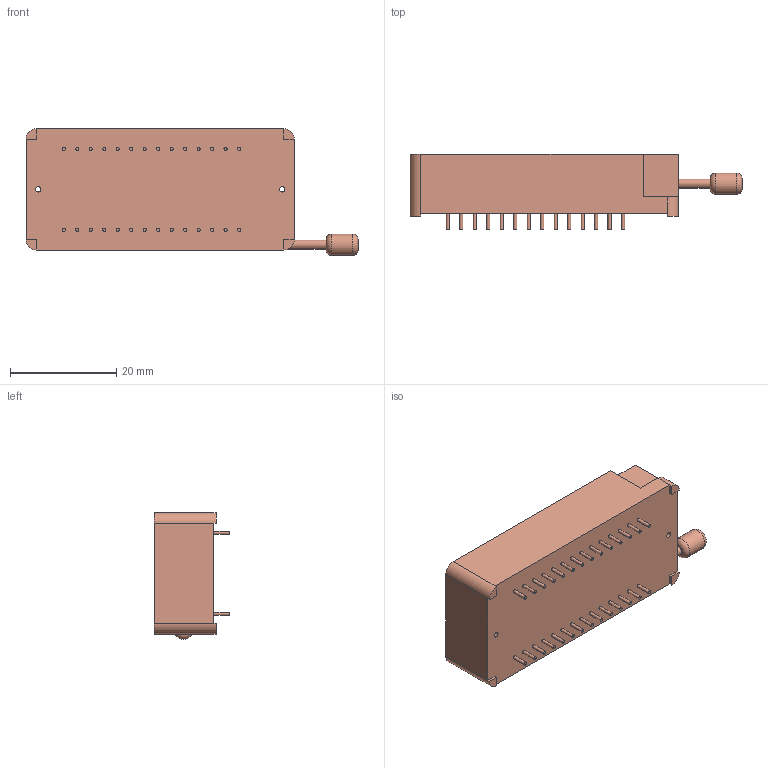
import cadquery as cq

body_length = 50.55
body_depth = 11.17
body_height = 22.86
corner_radius = 2.0

foot_height = 0.5
foot_size = corner_radius

pins_per_row = 14
pin_pitch = 2.54
row_spacing = 6 * pin_pitch
pin_diameter = 0.6
pin_length = 3.0
first_pin_x = 7.12

hole_diameter = 1.0
hole_end_distance = 2.3

notch_length = 6.6
notch_depth_y = 8.0
notch_depth_z = corner_radius

rod_diameter = 1.7
rod_reach = 6.0
rod_y = body_depth - 5.5
rod_z = 1.0
knob_diameter = 4.0
knob_length = 6.0
knob_edge_radius = 1.0

root_depth = 1.0

mid_z = body_height / 2


def rounded_block(y_start, y_end):
    """Full body outline with rounded corners, between two Y positions."""
    block = cq.Workplane("XY").box(body_length, y_end - y_start, body_height, centered=False)
    return block.translate((0, y_start, 0)).edges("|Y").fillet(corner_radius)


def corner_feet():
    """Four square pads trimmed to the rounded outline; they continue the body corners."""
    pads = (
        cq.Workplane("XY")
        .rect(body_length - foot_size, body_height - foot_size, forConstruction=True)
        .vertices()
        .rect(foot_size, foot_size)
        .extrude(body_depth + foot_height)
        .rotate((0, 0, 0), (1, 0, 0), -90)
        .translate((body_length / 2, -foot_height, mid_z))
    )
    return pads.intersect(rounded_block(-foot_height, body_depth))


def cylinders_along_y(points, diameter, y_start, y_end):
    """Cylinders along Y, centred on (x, z) points."""
    mirrored = [(x, -z) for x, z in points]
    return (
        cq.Workplane("XY")
        .pushPoints(mirrored)
        .circle(diameter / 2)
        .extrude(y_end - y_start)
        .rotate((0, 0, 0), (1, 0, 0), -90)
        .translate((0, y_start, 0))
    )


def pins():
    """Pins rooted inside the body so that they join it."""
    row_heights = (mid_z - row_spacing / 2, mid_z + row_spacing / 2)
    points = [(first_pin_x + i * pin_pitch, z) for z in row_heights for i in range(pins_per_row)]
    return cylinders_along_y(points, pin_diameter, -pin_length, root_depth)


def mounting_holes():
    points = [(x, mid_z) for x in (hole_end_distance, body_length - hole_end_distance)]
    return cylinders_along_y(points, hole_diameter, 0, body_depth)


def lever_notch(z_start):
    notch = cq.Workplane("XY").box(notch_length, notch_depth_y, notch_depth_z, centered=False)
    return notch.translate((body_length - notch_length, body_depth - notch_depth_y, z_start))


def lever():
    """Rod rooted in the end wall of the lower notch, with a rounded knob at its tip."""
    rod_start_x = body_length - notch_length - root_depth
    knob_start_x = body_length + rod_reach
    axis_plane = cq.Workplane("YZ", origin=(0, rod_y, rod_z))
    rod = (
        axis_plane.workplane(offset=rod_start_x)
        .circle(rod_diameter / 2)
        .extrude(knob_start_x + knob_length / 2 - rod_start_x)
    )
    knob = (
        axis_plane.workplane(offset=knob_start_x)
        .circle(knob_diameter / 2)
        .extrude(knob_length)
        .edges()
        .fillet(knob_edge_radius)
    )
    return rod.union(knob)


body = rounded_block(0, body_depth).union(corner_feet())
for notch_z in (0, body_height - notch_depth_z):
    body = body.cut(lever_notch(notch_z))
body = body.cut(mounting_holes())

result = body.union(pins()).union(lever())